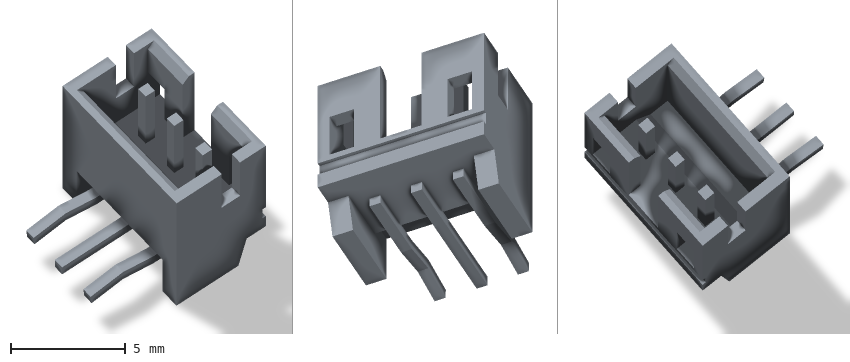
import cadquery as cq

width = 8.0
depth = 4.96
height = 7.7
overall_depth = 8.35

side_wall = 0.57
front_wall = 0.7
rear_wall = 0.67
rim_chamfer = 0.35
cavity_width = width - 2 * side_wall
cavity_back = depth - rear_wall
floor_z = 3.37
trough_back = 1.67
trough_slope_end = 2.49
trough_z = floor_z - (trough_slope_end - trough_back)

key_width = 1.99
side_notch_front = 2.51
side_notch_back = 3.52
side_notch_z = 5.185
window_inner_x = 2.255
window_top = 5.62
groove_bottom = 2.41
groove_top = 3.07
groove_depth = 0.18

foot_width = 0.985
passage_width = width - 2 * foot_width
passage_front_z = 2.39
passage_back_z = 1.795
passage_slope_start = 0.835
passage_slope_end = 1.235
rear_step_z = 1.645
foot_top_back = 3.9
foot_bottom_back = 3.44

pin_size = 0.52
pin_pitch = 2.0
pin_front = depth - overall_depth
pin_back = 3.35
pin_top = 6.91
lead_z = 1.19
bend_start = 0.1
bend_peak = -1.595
bend_rise = 0.29
tip_setback = 0.05


def extrude_across(points, length):
    """Extrude a (Y, Z) outline along X, centred on X = 0."""
    return cq.Workplane("YZ").polyline(points).close().extrude(length / 2, both=True)


def block(x_range, y_range, z_range):
    """Box between the given limits."""
    size = [high - low for low, high in (x_range, y_range, z_range)]
    corner = (x_range[0], y_range[0], z_range[0])
    return cq.Workplane("XY").box(*size, centered=False).translate(corner)


def centred_block(length, y_range, z_range):
    """Box centred on X = 0."""
    return block((-length / 2, length / 2), y_range, z_range)


def make_shell():
    """Housing side outline with the rear step, sloping feet and rear groove."""
    groove_y = depth - groove_depth
    return extrude_across(
        [
            (0, 0),
            (foot_bottom_back, 0),
            (foot_top_back, rear_step_z),
            (depth, rear_step_z),
            (depth, groove_bottom),
            (groove_y, groove_bottom),
            (groove_y, groove_top),
            (depth, groove_top),
            (depth, height),
            (0, height),
        ],
        width,
    )


def make_cavity():
    """Cavity with chamfered rims and a sloped trough at the front of its floor."""
    return extrude_across(
        [
            (front_wall, trough_z),
            (trough_back, trough_z),
            (trough_slope_end, floor_z),
            (cavity_back, floor_z),
            (cavity_back, height - rim_chamfer),
            (cavity_back + rim_chamfer, height),
            (front_wall - rim_chamfer, height),
            (front_wall, height - rim_chamfer),
        ],
        cavity_width,
    )


def make_passage():
    """Passage between the feet, with a roof that slopes down towards the rear."""
    return extrude_across(
        [
            (0, 0),
            (0, passage_front_z),
            (passage_slope_start, passage_front_z),
            (passage_slope_end, passage_back_z),
            (passage_slope_end, rear_step_z),
            (depth, rear_step_z),
            (depth, 0),
        ],
        passage_width,
    )


def make_wall_openings():
    """Central key slot and two windows in the rear wall, and the side notches."""
    rear = (cavity_back, depth)
    openings = centred_block(key_width, rear, (floor_z, height))
    notch = (side_notch_front, side_notch_back)
    openings = openings.union(centred_block(width, notch, (side_notch_z, height)))
    window = block((window_inner_x, cavity_width / 2), rear, (floor_z, window_top))
    return openings.union(window).union(window.mirror("YZ"))


def make_pin(x, bent):
    """Right-angle pin; a bent pin has a raised kink in its lead."""
    lead_top = lead_z + pin_size
    lower = [(pin_front, lead_z)]
    upper = [(pin_front, lead_top)]
    if bent:
        lower = [
            (bend_start, lead_z),
            (bend_peak, lead_z + bend_rise),
            (pin_front + tip_setback, lead_z),
        ]
        upper += [(bend_peak, lead_top + bend_rise), (bend_start, lead_top)]
    post = [
        (pin_back - pin_size, lead_top),
        (pin_back - pin_size, pin_top),
        (pin_back, pin_top),
        (pin_back, lead_z),
    ]
    return extrude_across(lower + upper + post, pin_size).translate((x, 0, 0))


result = make_shell().cut(make_cavity()).cut(make_passage()).cut(make_wall_openings())
for position in (-1, 0, 1):
    result = result.union(make_pin(position * pin_pitch, bent=position != 0))